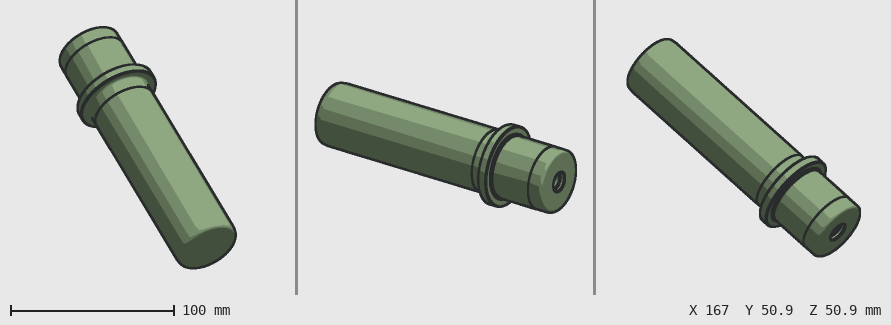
import cadquery as cq
import math

length = 167.0
flange_start = 36.9
flange_width = 6.0
flange_end = flange_start + flange_width
flange_radius = 25.47
flange_chamfer = 0.5

shank_radius = 20.0
lead_length = 9.7
lead_relief = 0.08
lead_radius = shank_radius - lead_relief
shank_round = 2.0

groove_width = 1.2
groove_depth = 0.5
groove_reach = 0.3
groove_top = 20.9

pin_radius = 20.0
neck_radius = 19.9
neck_end = 51.0
neck_fillet = 1.5
tip_taper_start = 162.2
tip_taper_drop = 0.3
tip_round = 2.5

hole_radius = 4.3
hole_depth = 20.0
drill_angle = 118.0
counterbore_radius = 6.0
counterbore_depth = 3.0
counterbore_chamfer = 0.5


def revolve(profile):
    """Close an outline in the XY plane and turn it about the X axis."""
    return profile.close().revolve(360, (0, 0, 0), (1, 0, 0))


def rounded_corner(profile, start, end, center, radius, middle_angle):
    """Add a line to start, then a circular arc to end."""
    angle = math.radians(middle_angle)
    middle = (center[0] + radius * math.cos(angle), center[1] + radius * math.sin(angle))
    return profile.lineTo(*start).threePointArc(middle, end)


def make_body():
    tip_radius = pin_radius - tip_taper_drop
    profile = cq.Workplane("XY").moveTo(0, 0)
    profile = rounded_corner(
        profile,
        (0, lead_radius - shank_round),
        (shank_round, lead_radius),
        (shank_round, lead_radius - shank_round),
        shank_round,
        135,
    )
    profile = profile.lineTo(lead_length, lead_radius).lineTo(lead_length, shank_radius)
    profile = profile.lineTo(flange_start, shank_radius)
    profile = profile.lineTo(flange_start, flange_radius - flange_chamfer)
    profile = profile.lineTo(flange_start + flange_chamfer, flange_radius)
    profile = profile.lineTo(flange_end - flange_chamfer, flange_radius)
    profile = profile.lineTo(flange_end, flange_radius - flange_chamfer)
    profile = rounded_corner(
        profile,
        (flange_end, neck_radius + neck_fillet),
        (flange_end + neck_fillet, neck_radius),
        (flange_end + neck_fillet, neck_radius + neck_fillet),
        neck_fillet,
        225,
    )
    profile = profile.lineTo(neck_end, neck_radius).lineTo(neck_end, pin_radius)
    profile = profile.lineTo(tip_taper_start, pin_radius)
    profile = rounded_corner(
        profile,
        (length - tip_round, tip_radius),
        (length, tip_radius - tip_round),
        (length - tip_round, tip_radius - tip_round),
        tip_round,
        45,
    )
    return revolve(profile.lineTo(length, 0))


def make_relief_groove():
    floor = shank_radius - groove_depth
    bottom_end = flange_start + groove_reach
    profile = (
        cq.Workplane("XY")
        .moveTo(flange_start - groove_width, shank_radius)
        .lineTo(flange_start - groove_width + groove_depth, floor)
        .lineTo(bottom_end, floor)
        .lineTo(bottom_end, groove_top - groove_reach)
        .lineTo(flange_start, groove_top)
        .lineTo(flange_start - groove_width, groove_top)
    )
    return revolve(profile)


def make_center_hole():
    cone_depth = hole_radius / math.tan(math.radians(drill_angle / 2))
    profile = (
        cq.Workplane("XY")
        .moveTo(0, 0)
        .lineTo(0, counterbore_radius + counterbore_chamfer)
        .lineTo(counterbore_chamfer, counterbore_radius)
        .lineTo(counterbore_depth, counterbore_radius)
        .lineTo(counterbore_depth, hole_radius)
        .lineTo(hole_depth, hole_radius)
        .lineTo(hole_depth + cone_depth, 0)
    )
    return revolve(profile)


result = make_body().cut(make_relief_groove()).cut(make_center_hole())